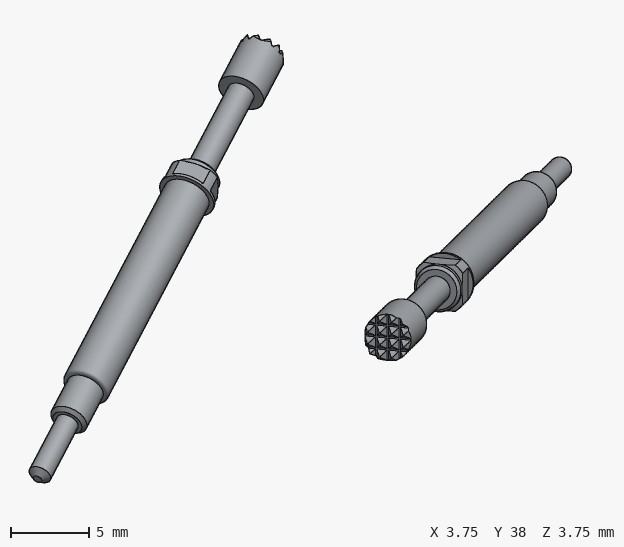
import cadquery as cq


overall_length = 38.0
tail_end_y = 0.0
pin_tip_length = 0.4
sleeve_start_y = 5.0
barrel_start_y = 8.0
flange_back_y = 25.0
flange_thickness = 0.2
collar_front_y = 27.0
head_length = 3.9

pin_diameter = 1.5
pin_tip_diameter = 0.6
sleeve_diameter = 2.5
barrel_diameter = 3.1
flange_diameter = 3.75
plunger_diameter = 1.8
head_diameter = 3.1

sleeve_chamfer = 0.25
barrel_fillet = 0.2

collar_width = barrel_diameter
collar_nose_length = 0.5
collar_nose_chamfer = 0.2
collar_cone_length = 0.12

teeth_per_row = 4
tooth_pitch = 0.8
groove_floor_width = 0.1
tooth_height = 0.55


def cylinder_along_y(diameter, start_y, end_y):
    """Cylinder on the Y axis between two stations."""
    plane = cq.Workplane("XZ", origin=(0, end_y, 0))
    return plane.circle(diameter / 2).extrude(end_y - start_y)


def make_tail():
    """Solder pin with a blunt conical tip."""
    pin = cylinder_along_y(pin_diameter, tail_end_y, sleeve_start_y)
    tip_inset = (pin_diameter - pin_tip_diameter) / 2
    return pin.faces("<Y").chamfer(pin_tip_length, tip_inset)


def make_sleeve():
    sleeve = cylinder_along_y(sleeve_diameter, sleeve_start_y, barrel_start_y)
    return sleeve.faces("<Y").chamfer(sleeve_chamfer)


def make_barrel():
    barrel = cylinder_along_y(barrel_diameter, barrel_start_y, flange_back_y)
    return barrel.faces("<Y").edges().fillet(barrel_fillet)


def make_flange():
    return cylinder_along_y(flange_diameter, flange_back_y, flange_back_y + flange_thickness)


def make_collar():
    """Square collar with rounded corners, coned down to a round chamfered nose."""
    back_y = flange_back_y + flange_thickness
    shoulder_y = collar_front_y - collar_nose_length
    corner_height = (flange_diameter - collar_width) / 2
    turned = cylinder_along_y(flange_diameter, back_y, shoulder_y)
    turned = turned.faces(">Y").chamfer(collar_cone_length, corner_height)
    square = cq.Workplane("XZ", origin=(0, shoulder_y, 0)).rect(collar_width, collar_width)
    collar = turned.intersect(square.extrude(shoulder_y - back_y))
    nose = cylinder_along_y(collar_width, back_y, collar_front_y)
    nose = nose.faces(">Y").chamfer(collar_nose_chamfer)
    return collar.union(nose)


def make_plunger():
    return cylinder_along_y(plunger_diameter, collar_front_y, overall_length - head_length)


def cut_groove(head, center, across_x):
    """Cut one V groove across the crown, spaced along X or along Z."""
    profile = [
        (center - tooth_pitch / 2, overall_length),
        (center + tooth_pitch / 2, overall_length),
        (center + groove_floor_width / 2, overall_length - tooth_height),
        (center - groove_floor_width / 2, overall_length - tooth_height),
    ]
    if across_x:
        groove = cq.Workplane("XY").polyline(profile).close().extrude(head_diameter, both=True)
    else:
        swapped = [(along, across) for across, along in profile]
        groove = cq.Workplane("YZ").polyline(swapped).close().extrude(head_diameter, both=True)
    return head.cut(groove)


def make_head():
    head = cylinder_along_y(head_diameter, overall_length - head_length, overall_length)
    for index in range(teeth_per_row + 1):
        center = (index - teeth_per_row / 2) * tooth_pitch
        head = cut_groove(head, center, across_x=True)
        head = cut_groove(head, center, across_x=False)
    return head


result = make_tail()
for section in (make_sleeve(), make_barrel(), make_flange(), make_collar(), make_plunger(), make_head()):
    result = result.union(section)
result = result.translate((0, -overall_length / 2, 0))